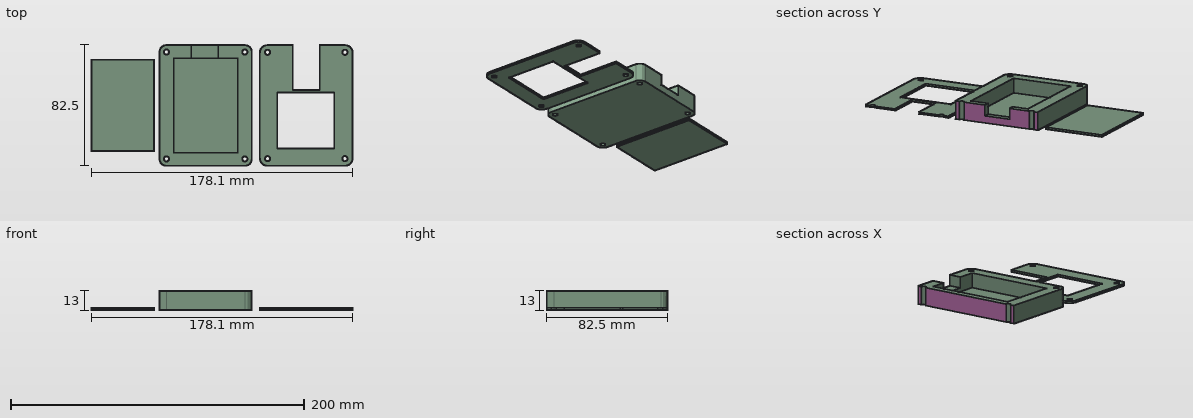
import cadquery as cq

case_length = 82.5
sheet_thickness = 1.5
screw_hole_diameter = 3.4
total_width = 178.1

plate_width = 42.7
plate_length = 62.3
plate_front_y = 10.2

housing_x = 46.3
housing_width = 63.0
housing_height = 13.0
housing_corner_radius = 4.8
housing_hole_inset = 4.8
pocket_width = 43.6
pocket_length = 64.1
pocket_depth = 10.3
notch_width = 18.7
notch_left = 21.5
notch_depth = 7.7

lid_width = 63.4
lid_x = total_width - lid_width
lid_corner_radius = 5.3
lid_hole_inset_x = 5.3
lid_hole_inset_y = 5.0
slot_width = 18.2
slot_length = 30.6
window_width = 38.6
window_length = 38.1
window_left = 12.1
window_front = 12.0


def block(x, y, z, width, length, height):
    """Box whose lowest corner is at (x, y, z)."""
    return cq.Workplane("XY").box(width, length, height, centered=False).translate((x, y, z))


def rounded_block(width, height, corner_radius):
    """Full-length block with rounded upright edges and its lowest corner at the origin."""
    return block(0, 0, 0, width, case_length, height).edges("|Z").fillet(corner_radius)


def corner_holes(width, height, inset_x, inset_y):
    """Four through-hole cylinders near the corners of a full-length block."""
    return (
        cq.Workplane("XY")
        .center(width / 2, case_length / 2)
        .rect(width - 2 * inset_x, case_length - 2 * inset_y, forConstruction=True)
        .vertices()
        .circle(screw_hole_diameter / 2)
        .extrude(height)
    )


def make_plate():
    """Plain rectangular plate."""
    return block(0, plate_front_y, 0, plate_width, plate_length, sheet_thickness)


def make_housing():
    """Open tray with a centred pocket, a notch through the back wall and four screw holes."""
    side_wall = (housing_width - pocket_width) / 2
    end_wall = (case_length - pocket_length) / 2
    pocket = block(
        side_wall, end_wall, housing_height - pocket_depth, pocket_width, pocket_length, pocket_depth
    )
    notch = block(
        notch_left, case_length - end_wall, housing_height - notch_depth, notch_width, end_wall, notch_depth
    )
    holes = corner_holes(housing_width, housing_height, housing_hole_inset, housing_hole_inset)
    body = rounded_block(housing_width, housing_height, housing_corner_radius)
    return body.cut(pocket).cut(notch).cut(holes).translate((housing_x, 0, 0))


def make_lid():
    """Thin cover with a window, a slot open at the back edge and four screw holes."""
    slot_left = (lid_width - slot_width) / 2
    slot = block(slot_left, case_length - slot_length, 0, slot_width, slot_length, sheet_thickness)
    window = block(window_left, window_front, 0, window_width, window_length, sheet_thickness)
    holes = corner_holes(lid_width, sheet_thickness, lid_hole_inset_x, lid_hole_inset_y)
    body = rounded_block(lid_width, sheet_thickness, lid_corner_radius)
    return body.cut(slot).cut(window).cut(holes).translate((lid_x, 0, 0))


plate = make_plate()
housing = make_housing()
lid = make_lid()

result = cq.Compound.makeCompound([plate.val(), housing.val(), lid.val()])